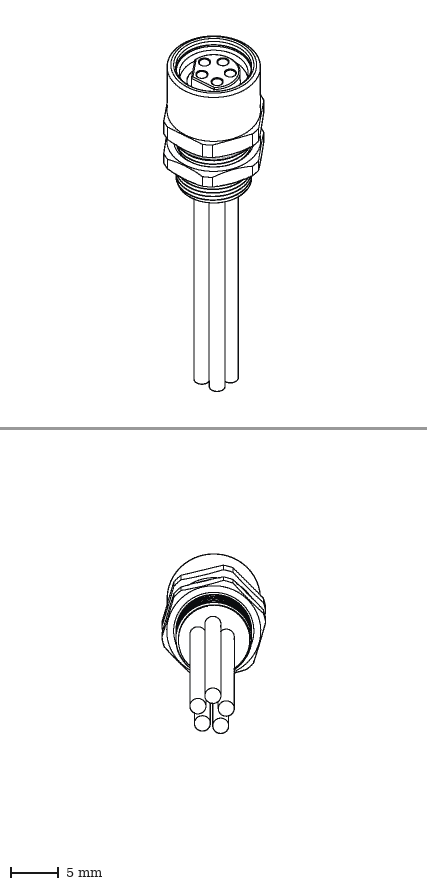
import cadquery as cq
import math

total_height = 43.2
shell_base_z = 36.85
collar_base_z = 34.65
nut_height = 2.0
nut_base_z = 30.7
thread_base_z = 27.3

shell_radius = 4.89
shell_edge_width = 0.4
shell_edge_height = 0.25
mouth_radius = 4.2
mouth_chamfer = 0.22
ledge_depth = 0.67
ledge_width = 0.06
step_depth = 0.85
step_height = 0.25
bore_radius = 3.6
floor_depth = 2.5

across_flats = 10.0
hex_sides = 6
half_sector = 180 / hex_sides
corner_radius = 5.495
hex_chamfer_angle = 30
collar_chamfer_radius = 4.67
nut_chamfer_radius = 4.92
nut_mouth_radius = 4.2

gasket_tube = 0.47
gasket_outer_radius = 4.53
ring_tube = 0.4
ring_depth = 2.25

thread_radius = 3.97
thread_pitch = 0.5
thread_depth = 0.28
thread_root_radius = thread_radius - thread_depth
thread_crest = 0.06
thread_end_chamfer = 0.2
thread_run_in_turns = 1.5
groove_clearance = 0.1
crest_z = 27.41

insert_radius = 2.77
insert_depth = 0.85
insert_edge = 0.15
key_apex = 2.54
key_slope = 30
contact_radius = 0.55
contact_lead_in = 0.08
contact_depth = 4.0
drill_point_angle = 118

wire_radius = 0.84
contact_points = [(-0.97, 1.47), (0.97, 1.47), (-1.69, -0.33), (1.69, -0.33), (0, -1.35)]


def disc(radius, base_z, height):
    return cq.Workplane("XY", origin=(0, 0, base_z)).circle(radius).extrude(height)


def revolve_profile(points):
    """Turn a closed (radius, z) outline about the Z axis."""
    return cq.Workplane("XZ").polyline(points).close().revolve(360, (0, 0), (0, 1))


def torus(centre_radius, tube_radius, z):
    profile = cq.Workplane("XZ").center(centre_radius, z).circle(tube_radius)
    return profile.revolve(360, (-centre_radius, 0), (-centre_radius, 1))


def hexagon(base_z, height, chamfer_radius, chamfer_top):
    """Hexagon with two flats facing +X and -X, rounded corners and conical end chamfers."""
    top_z = base_z + height
    drop = (corner_radius - chamfer_radius) * math.tan(math.radians(hex_chamfer_angle))
    outline = [(0, base_z), (chamfer_radius, base_z), (corner_radius, base_z + drop)]
    if chamfer_top:
        outline += [(corner_radius, top_z - drop), (chamfer_radius, top_z)]
    else:
        outline += [(corner_radius, top_z)]
    outline += [(0, top_z)]
    across_corners = across_flats / math.cos(math.radians(half_sector))
    prism = cq.Workplane("XY", origin=(0, 0, base_z)).polygon(hex_sides, across_corners).extrude(height)
    prism = prism.rotate((0, 0, 0), (0, 0, 1), half_sector)
    return prism.intersect(revolve_profile(outline))


def make_nut():
    """Lock nut, countersunk at 45 degrees down to the thread root at both ends."""
    nut = hexagon(nut_base_z, nut_height, nut_chamfer_radius, True)
    sink = nut_mouth_radius - thread_root_radius
    for face_z, inward in ((nut_base_z, 1), (nut_base_z + nut_height, -1)):
        tip_z = face_z + inward * sink
        countersink = [(0, face_z), (nut_mouth_radius, face_z), (thread_root_radius, tip_z), (0, tip_z)]
        nut = nut.cut(revolve_profile(countersink))
    return nut


def make_shell():
    top = total_height
    ledge_z = top - ledge_depth
    step_z = top - step_depth
    floor_z = top - floor_depth
    bore_mouth = mouth_radius - mouth_chamfer
    return revolve_profile([
        (0, shell_base_z),
        (shell_radius, shell_base_z),
        (shell_radius, top - shell_edge_height),
        (shell_radius - shell_edge_width, top),
        (mouth_radius, top),
        (bore_mouth, top - mouth_chamfer),
        (bore_mouth, ledge_z),
        (bore_mouth - ledge_width, ledge_z),
        (bore_mouth - ledge_width, step_z),
        (bore_radius, step_z - step_height),
        (bore_radius, floor_z),
        (0, floor_z),
    ])


def make_insert():
    """Round insert with two keying flats that meet in a ridge toward -Y."""
    floor_z = total_height - floor_depth
    height = floor_depth - insert_depth
    side_x = 2 * insert_radius
    side_y = side_x * math.tan(math.radians(key_slope)) - key_apex
    key = (
        cq.Workplane("XY", origin=(0, 0, floor_z))
        .moveTo(0, -key_apex)
        .lineTo(side_x, side_y)
        .lineTo(side_x, side_x)
        .lineTo(-side_x, side_x)
        .lineTo(-side_x, side_y)
        .close()
        .extrude(height)
    )
    return disc(insert_radius, floor_z, height).intersect(key).faces(">Z").chamfer(insert_edge)


def make_thread():
    """Stud between thread base and collar with a right-hand helical V groove."""
    length = collar_base_z - thread_base_z
    stud = disc(thread_radius, thread_base_z, length).faces("<Z").chamfer(thread_end_chamfer)
    groove_z = crest_z - thread_run_in_turns * thread_pitch
    groove_top = collar_base_z - gasket_tube
    helix = cq.Wire.makeHelix(thread_pitch, groove_top - groove_z, thread_radius)
    outer_radius = thread_radius + groove_clearance
    half_mouth = (thread_pitch - thread_crest) / 2
    half_outer = half_mouth * (1 + groove_clearance / thread_depth)
    groove = (
        cq.Workplane("XZ")
        .polyline([
            (thread_root_radius, 0),
            (outer_radius, half_outer),
            (outer_radius, -half_outer),
        ])
        .close()
        .sweep(cq.Workplane(helix), isFrenet=True)
        .translate((0, 0, groove_z))
    )
    return stud.cut(groove)


def make_contact_hole(x, y):
    top_z = total_height - insert_depth
    base_z = top_z - contact_depth
    tip_z = base_z - contact_radius / math.tan(math.radians(drill_point_angle / 2))
    outline = [
        (0, tip_z),
        (contact_radius, base_z),
        (contact_radius, top_z - contact_lead_in),
        (contact_radius + contact_lead_in, top_z),
        (0, top_z),
    ]
    return revolve_profile(outline).translate((x, y, 0))


def make_wire(x, y):
    return disc(wire_radius, 0, thread_base_z).translate((x, y, 0))


collar_height = shell_base_z - collar_base_z
result = make_thread()
result = result.union(hexagon(collar_base_z, collar_height, collar_chamfer_radius, False))
result = result.union(make_nut())
gasket_radius = gasket_outer_radius - gasket_tube
result = result.union(torus(gasket_radius, gasket_tube, collar_base_z - gasket_tube))
result = result.union(make_shell())
result = result.union(make_insert())
ring_radius = bore_radius - ring_tube
result = result.union(torus(ring_radius, ring_tube, total_height - ring_depth))
for x, y in contact_points:
    result = result.cut(make_contact_hole(x, y)).union(make_wire(x, y))